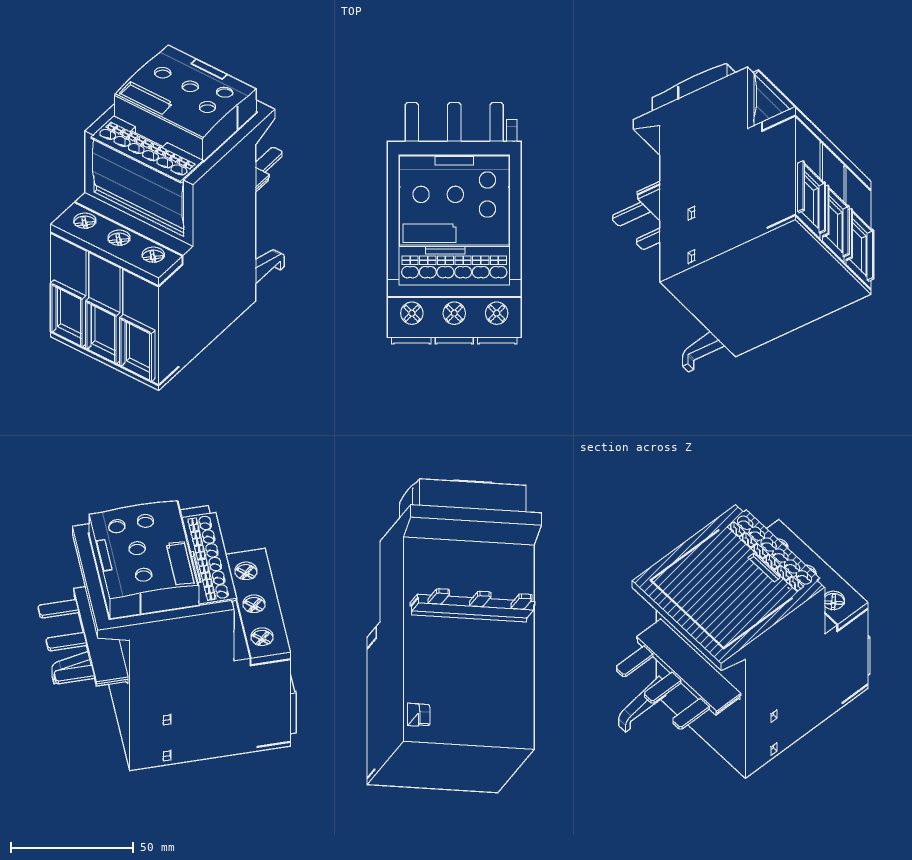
import cadquery as cq


width = 55.0
half_width = width / 2
ledge_z = 62.8
tower_front = 23.7
plate_top = 97.0
back = 67.2
plate_back = 80.5
plate_edge_z = 91.7
overhang_root_z = 86.9
seam = 0.3

pole_pitch = 17.4
pole_xs = [-pole_pitch, 0, pole_pitch]

lid_depth = 16.7
lid_bottom = 57.9
panel_depth = 14.0
panel_bottom = 2.8
groove_inner = 7.8
groove_outer = 9.5
groove_depth = 1.8

screw_y = 10
screw_hole_radius = 4.6
screw_hole_depth = 1.7
screw_hub_radius = 1.2
screw_slot_length = 8.0
screw_slot_width = 1.3
screw_slot_depth = 1.8
screw_hub_depth = 2.5

frame_bottom = 5.9
frame_top = 32.7
frame_reach = 2.7
frame_top_reach = 2.2
frame_top_wall = 0.9
outer_frame_edge = 25.7
outer_wall = 1.0
inner_wall = 0.8
window_bottom = 7.7
window_top = 29.7
window_depth = 2.2
window_near = 11.1
window_far = 23.9
middle_window_half = 6.6

insert_half_width = 22.7
insert_top = 97.9
insert_front = 21.5
lip_bottom = 97.2
recess_bottom = 65.7
recess_back = 25.5
flap_hinge_z = 96.2
flap_hinge_y = 23.4
flap_crest_y = 22.5
flap_crest_top = 88.5
flap_crest_bottom = 78.2
flap_bottom = 69
flap_bottom_y = 24.4
notch_left = -11.7
notch_right = 4.5
notch_front = 34.3
notch_depth = 3.3
notch_step_y = 36.4
notch_step_depth = 4.5

terminal_count = 6
terminal_pitch = 7.2
clamp_width = 6.6
clamp_front = 29.9
clamp_back = 33.5
clamp_depth = 4.5
clamp_divider = 0.2
wire_y = 26.8
wire_radius = 2.3
wire_offset = 1.1
wire_depth = 4.5

cap_half_width = 22.4
cap_front = 37.3
cap_back = 74.5
cap_edge_z = 110.1
cap_peak_y = 53.1
cap_peak_z = 111.3
cap_cut_top = cap_peak_z + 1.1
cap_flat_start = 68.9
cap_chamfer = 0.6
cap_seam_y = 61.7
cap_seam_top = 109.5
button_radius = 3.3
button_floor = 109.4
button_centres = [(-13.6, 58.7), (0.5, 58.7), (13.6, 64.5), (13.6, 52.6)]
label_left = -21.0
label_right = 0.7
label_front = 39
label_back = 46.5
label_notch = 1.2
label_floor = 109.3
badge_half_width = 7.9
badge_front = 70.7
badge_back = 74.1
badge_height = 0.5

pin_width = 5.6
pin_end = 96.3
pin_bottom = 55.5
pin_top = 57.4
pin_chamfer = 0.9
collar_half_width = 24.7
collar_base_half_width = 24.2
collar_bottom = 55.4
collar_split_z = 57.7
collar_top = 59.1
gusset_reach = 0.9
gusset_bottom = 54.0

hook_left = 21.4
hook_right = 25.7
hook_end = 89.4
hook_thickness = 2.7
hook_tip_z = 1.7
hook_arm_bottom = 6.8
hook_root_top = 16.4
hook_bend_z = 9.8
hook_outer_radius = 4.2
hook_inner_radius = 0.6

slot_front = 49.9
slot_back = 53.1
slot_height = 6.0
slot_bottoms = [3.1, 27.2]
slot_depth = 2.2


def block(x0, x1, y0, y1, z0, z1):
    """Axis-aligned box between two opposite corners."""
    return cq.Workplane("XY").box(x1 - x0, y1 - y0, z1 - z0, centered=False).translate((x0, y0, z0))


def side_profile(points, x0, x1):
    """Polygon of (Y, Z) points extruded from x0 to x1."""
    return cq.Workplane("YZ").workplane(offset=x0).polyline(points).close().extrude(x1 - x0)


def cylinder(x, y, radius, z0, z1):
    """Vertical cylinder between two heights."""
    return cq.Workplane("XY").workplane(offset=z0).center(x, y).circle(radius).extrude(z1 - z0)


def make_housing():
    outline = [
        (0, 0), (0, ledge_z), (tower_front, ledge_z), (tower_front, plate_top), (plate_back, plate_top),
        (plate_back, plate_edge_z), (back, overhang_root_z), (back, 0),
    ]
    housing = side_profile(outline, -half_width, half_width)
    for bottom in slot_bottoms:
        housing = housing.cut(block(-half_width, -half_width + slot_depth, slot_front, slot_back,
                                    bottom, bottom + slot_height))
    return housing


def horizontal_joint(z, depth):
    """Shallow groove around the front and both sides of the terminal block."""
    ring = block(-half_width, half_width, 0, depth, z - seam / 2, z + seam / 2)
    core = block(-half_width + seam, half_width - seam, seam, depth, z - seam / 2, z + seam / 2)
    return ring.cut(core)


def lid_back_joint():
    """Groove over the top and both sides behind the terminal lid."""
    y0 = lid_depth - seam / 2
    y1 = lid_depth + seam / 2
    ring = block(-half_width, half_width, y0, y1, lid_bottom - seam / 2, ledge_z)
    core = block(-half_width + seam, half_width - seam, y0, y1, lid_bottom - seam / 2, ledge_z - seam)
    return ring.cut(core)


def cut_terminal_block(body):
    body = body.cut(horizontal_joint(lid_bottom, lid_depth))
    body = body.cut(horizontal_joint(panel_bottom, panel_depth))
    body = body.cut(lid_back_joint())
    for x0 in (-groove_outer, groove_inner):
        x1 = x0 + groove_outer - groove_inner
        body = body.cut(block(x0, x1, 0, groove_depth, panel_bottom, lid_bottom))
    return body


def screw_recess(x):
    """Round hole down to a screw head with a diagonal cross slot."""
    head_z = ledge_z - screw_hole_depth
    recess = cylinder(x, screw_y, screw_hole_radius, head_z, ledge_z)
    recess = recess.union(cylinder(x, screw_y, screw_hub_radius, head_z - screw_hub_depth, head_z))
    for angle in (45, 135):
        slot = (
            cq.Workplane("XY")
            .box(screw_slot_length, screw_slot_width, screw_slot_depth)
            .rotate((0, 0, 0), (0, 0, 1), angle)
            .translate((x, screw_y, head_z - screw_slot_depth / 2))
        )
        recess = recess.union(slot)
    return recess


def add_wire_frame(body, left, right, left_wall, right_wall, window_left, window_right):
    """Two side rails and a shallower top rail around a sunken wire entry window."""
    body = body.union(block(left, left + left_wall, -frame_reach, 0, frame_bottom, frame_top))
    body = body.union(block(right - right_wall, right, -frame_reach, 0, frame_bottom, frame_top))
    body = body.union(block(left, right, -frame_top_reach, 0, frame_top - frame_top_wall, frame_top))
    return body.cut(block(window_left, window_right, 0, window_depth, window_bottom, window_top))


def add_wire_frames(body):
    body = add_wire_frame(body, -outer_frame_edge, -groove_outer, outer_wall, inner_wall,
                          -window_far, -window_near)
    body = add_wire_frame(body, -groove_inner, groove_inner, inner_wall, inner_wall,
                          -middle_window_half, middle_window_half)
    return add_wire_frame(body, groove_outer, outer_frame_edge, inner_wall, outer_wall,
                          window_near, window_far)


def add_terminal_insert(body):
    half = insert_half_width
    body = body.cut(block(-half, half, tower_front, recess_back, recess_bottom, plate_top))
    outline = [
        (cap_front, insert_top), (insert_front, insert_top), (insert_front, lip_bottom),
        (flap_hinge_y, flap_hinge_z), (flap_crest_y, flap_crest_top), (flap_crest_y, flap_crest_bottom),
        (flap_bottom_y, flap_bottom), (recess_back, flap_bottom), (recess_back, plate_top),
        (cap_front, plate_top),
    ]
    body = body.union(side_profile(outline, -half, half))
    body = body.cut(block(notch_left, notch_right, notch_front, notch_step_y,
                          insert_top - notch_depth, insert_top))
    return body.cut(block(notch_left, notch_right, notch_step_y, cap_front,
                          insert_top - notch_step_depth, insert_top))


def control_terminal(x):
    """Double wire hole and a clamp opening behind it, split in four by a thin cross."""
    left = x - clamp_width / 2
    right = x + clamp_width / 2
    middle_y = (clamp_front + clamp_back) / 2
    half_divider = clamp_divider / 2
    floor = insert_top - clamp_depth
    cutter = block(left, right, clamp_front, clamp_back, floor, insert_top)
    cutter = cutter.cut(block(x - half_divider, x + half_divider, clamp_front, clamp_back,
                              floor, insert_top))
    cutter = cutter.cut(block(left, right, middle_y - half_divider, middle_y + half_divider,
                              floor, insert_top))
    for offset in (-wire_offset, wire_offset):
        hole = cylinder(x + offset, wire_y, wire_radius, insert_top - wire_depth, insert_top)
        cutter = cutter.union(hole)
    return cutter


def cut_control_terminals(body):
    for index in range(terminal_count):
        x = (index - (terminal_count - 1) / 2) * terminal_pitch
        body = body.cut(control_terminal(x))
    return body


def make_cap():
    """Domed cap with a flat strip along its rear edge."""
    profile = (
        cq.Workplane("YZ").workplane(offset=-cap_half_width)
        .moveTo(cap_front, plate_top)
        .lineTo(cap_front, cap_edge_z - cap_chamfer)
        .lineTo(cap_front + cap_chamfer, cap_edge_z)
        .threePointArc((cap_peak_y, cap_peak_z), (cap_flat_start, cap_edge_z))
        .lineTo(cap_back, cap_edge_z)
        .lineTo(cap_back, plate_top)
        .close()
    )
    cap = profile.extrude(2 * cap_half_width)
    for x0 in (-cap_half_width, cap_half_width - seam):
        cap = cap.cut(block(x0, x0 + seam, cap_seam_y - seam / 2, cap_seam_y + seam / 2,
                            plate_top, cap_seam_top))
    for x, y in button_centres:
        cap = cap.cut(cylinder(x, y, button_radius, button_floor, cap_cut_top))
    cap = cap.cut(label_window())
    return cap.union(block(-badge_half_width, badge_half_width, badge_front, badge_back,
                           cap_edge_z, cap_edge_z + badge_height))


def label_window():
    """Shallow window with its rear right corner stepped."""
    window = block(label_left, label_right, label_front, label_back, label_floor, cap_cut_top)
    corner = block(label_right - label_notch, label_right, label_back - label_notch, label_back,
                   label_floor, cap_cut_top)
    return window.cut(corner)


def cap_gap():
    """Narrow gap in the top plate around the sides and rear of the cap."""
    z0 = plate_top - seam
    ring = block(-insert_half_width, insert_half_width, cap_front, cap_back + seam, z0, plate_top)
    return ring.cut(block(-cap_half_width, cap_half_width, cap_front, cap_back, z0, plate_top))


def make_pins():
    """Three flat pins joined by a two-layer collar with a small gusset below it."""
    collar = block(-collar_half_width, collar_half_width, back, plate_back, collar_split_z, collar_top)
    base_outline = [
        (back, collar_split_z), (plate_back, collar_split_z), (plate_back, collar_bottom),
        (back + gusset_reach, collar_bottom), (back, gusset_bottom),
    ]
    collar = collar.union(side_profile(base_outline, -collar_base_half_width, collar_base_half_width))
    for x in pole_xs:
        pin = block(x - pin_width / 2, x + pin_width / 2, back, pin_end, pin_bottom, pin_top)
        collar = collar.union(pin.edges("|Z and >Y").chamfer(pin_chamfer))
    return collar


def make_hook():
    """Tapered arm ending in a downward hook."""
    outline = [
        (back, hook_root_top), (hook_end, hook_bend_z), (hook_end, hook_tip_z),
        (hook_end - hook_thickness, hook_tip_z), (hook_end - hook_thickness, hook_arm_bottom),
        (back, hook_arm_bottom),
    ]
    hook = side_profile(outline, hook_left, hook_right)
    hook = hook.edges("|X").edges(cq.selectors.NearestToPointSelector(
        (hook_left, hook_end, hook_bend_z))).fillet(hook_outer_radius)
    return hook.edges("|X").edges(cq.selectors.NearestToPointSelector(
        (hook_left, hook_end - hook_thickness, hook_arm_bottom))).fillet(hook_inner_radius)


body = make_housing()
body = cut_terminal_block(body)
for pole_x in pole_xs:
    body = body.cut(screw_recess(pole_x))
body = add_wire_frames(body)
body = add_terminal_insert(body)
body = cut_control_terminals(body)
body = body.cut(cap_gap())
body = body.union(make_cap())
body = body.union(make_pins())
result = body.union(make_hook())